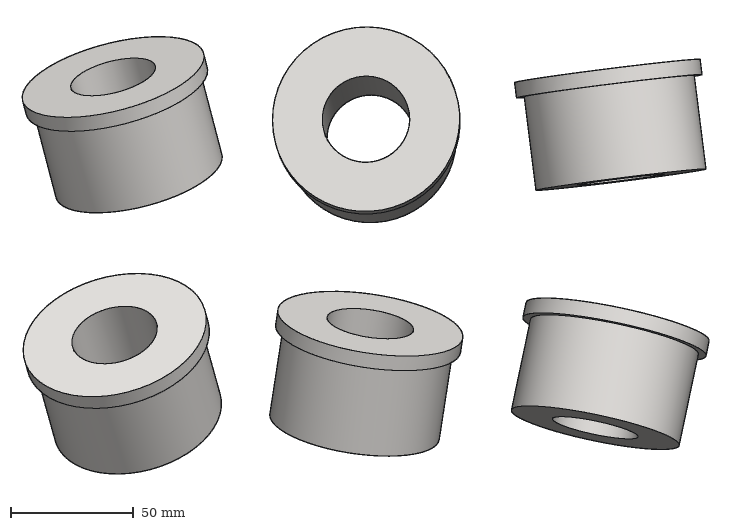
import cadquery as cq

body_diameter = 69.85
flange_diameter = 76.2
bore_diameter = 35.5
total_height = 44.6
flange_thickness = 6.3
tilt_angle = 14.5

body = cq.Workplane("XY").circle(body_diameter / 2).extrude(total_height)

flange = (
    cq.Workplane("XY")
    .workplane(offset=total_height - flange_thickness)
    .circle(flange_diameter / 2)
    .extrude(flange_thickness)
)

bore = cq.Workplane("XY").circle(bore_diameter / 2).extrude(total_height)

bushing = body.union(flange).cut(bore)
result = bushing.rotate((0, 0, 0), (1, 0, 0), tilt_angle)